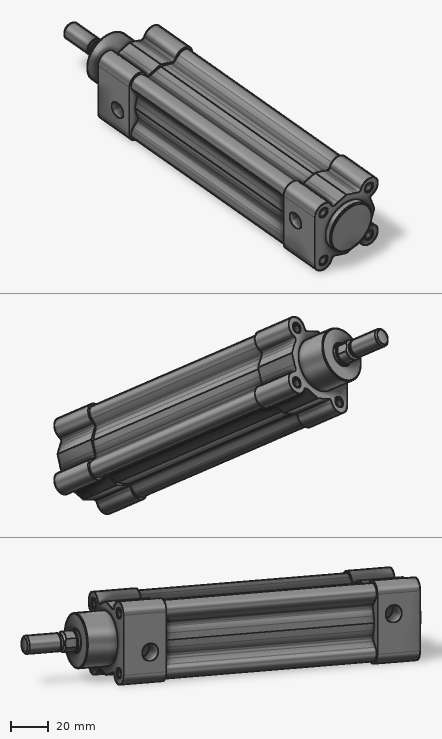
import cadquery as cq
import math


FRONT_BOSS_X = 30.0
FRONT_CAP_X = 48.0
CAP_LENGTH = 25.0
REAR_CAP_END_X = 222.0
TOTAL_LENGTH = 226.0
BARREL_START_X = FRONT_CAP_X + CAP_LENGTH
BARREL_END_X = REAR_CAP_END_X - CAP_LENGTH

OUTER_WIDTH = 45.0
HALF_WIDTH = OUTER_WIDTH / 2
LOBE_OFFSET = 16.3
LOBE_DISTANCE = math.hypot(LOBE_OFFSET, LOBE_OFFSET)

CAP_LOBE_RADIUS = HALF_WIDTH - LOBE_OFFSET
CAP_CORE_RADIUS = 19.0
CAP_RIDGE_HALF_WIDTH = 5.9
CAP_FILLET_RADIUS = 1.8

BARREL_LOBE_RADIUS = 5.0
BARREL_CORE_RADIUS = 18.0
BARREL_RIDGE_HALF_WIDTH = 3.8
BARREL_FILLET_RADIUS = 2.5

BOSS_RADIUS = 15.0
BOSS_CHAMFER = 0.5
SPIGOT_CHAMFER = 0.7
ROD_BORE_CHAMFER = 0.7
SCREW_HOLE_DIAMETER = 5.0
SCREW_HOLE_CHAMFER = 0.56
PORT_DIAMETER = 9.5
PORT_DEPTH = 12.0
PORT_FROM_OUTER_FACE = 15.5
PORT_Z_OFFSET = 5.0

ROD_DIAMETER = 12.0
ROD_RADIUS = ROD_DIAMETER / 2
NECK_CHAMFER_LENGTH = 0.7
THREAD_RADIUS = 5.0
THREAD_CHAMFER = 1.0
THREAD_LENGTH = 19.5
UNDERCUT_DIAMETER = 8.8
UNDERCUT_RADIUS = UNDERCUT_DIAMETER / 2
UNDERCUT_END_X = 21.0
NECK_RADIUS = 5.6
NECK_START_X = UNDERCUT_END_X + NECK_RADIUS - UNDERCUT_RADIUS
NECK_END_X = 28.2
ACROSS_FLATS = 10.2


def section_plane(x):
    """Sketch plane across the axis: local x is Y, local y is Z, extruding toward +X."""
    return cq.Workplane("YZ", origin=(x, 0, 0))


def ridged_core(x, length, radius, ridge_half_width):
    """Round bar with four low ridges, whose flat sides run tangent to the round."""
    tangent_angle = math.asin(ridge_half_width / radius)
    crest = radius / math.cos(tangent_angle)
    tangent_height = radius * math.cos(tangent_angle)
    core = section_plane(x).circle(radius).extrude(length)
    for turn in range(4):
        ridge = (
            section_plane(x)
            .moveTo(0, 0)
            .lineTo(ridge_half_width, tangent_height)
            .lineTo(0, crest)
            .lineTo(-ridge_half_width, tangent_height)
            .close()
            .extrude(length)
            .rotate((0, 0, 0), (1, 0, 0), 90 * turn)
        )
        core = core.union(ridge)
    return core


def fillet_hollows(bar, x, length, core_radius, half_chord, fillet_radius):
    """Round the eight long inner corners where the corner lobes meet the core.

    half_chord is half the width of a lobe where it crosses the round of the core.
    """
    along_diagonal = math.sqrt(core_radius**2 - half_chord**2)
    near_side = (along_diagonal - half_chord) / math.sqrt(2)
    far_side = (along_diagonal + half_chord) / math.sqrt(2)
    for y, z in ((near_side, far_side), (far_side, near_side)):
        for side_y in (-1, 1):
            for side_z in (-1, 1):
                corner_edge = cq.selectors.NearestToPointSelector(
                    (x + length / 2, side_y * y, side_z * z)
                )
                bar = bar.edges(corner_edge).fillet(fillet_radius)
    return bar


def make_barrel():
    """Profiled tube: ridged core with four diagonal round-ended arms."""
    length = BARREL_END_X - BARREL_START_X
    bar = ridged_core(BARREL_START_X, length, BARREL_CORE_RADIUS, BARREL_RIDGE_HALF_WIDTH)
    arm_span = 2 * (LOBE_DISTANCE + BARREL_LOBE_RADIUS)
    for angle in (45, 135):
        arms = section_plane(BARREL_START_X).slot2D(arm_span, 2 * BARREL_LOBE_RADIUS, angle)
        bar = bar.union(arms.extrude(length))
    return fillet_hollows(
        bar, BARREL_START_X, length, BARREL_CORE_RADIUS, BARREL_LOBE_RADIUS, BARREL_FILLET_RADIUS
    )


def cap_body(x):
    """Cap block: ridged core with four round lobes, filled out to a flat face on the -Y side."""
    bar = ridged_core(x, CAP_LENGTH, CAP_CORE_RADIUS, CAP_RIDGE_HALF_WIDTH)
    lobes = (
        section_plane(x)
        .rect(2 * LOBE_OFFSET, 2 * LOBE_OFFSET, forConstruction=True)
        .vertices()
        .circle(CAP_LOBE_RADIUS)
        .extrude(CAP_LENGTH)
    )
    crossing_distance = (
        LOBE_DISTANCE**2 + CAP_CORE_RADIUS**2 - CAP_LOBE_RADIUS**2
    ) / (2 * LOBE_DISTANCE)
    half_chord = math.sqrt(CAP_CORE_RADIUS**2 - crossing_distance**2)
    bar = fillet_hollows(
        bar.union(lobes), x, CAP_LENGTH, CAP_CORE_RADIUS, half_chord, CAP_FILLET_RADIUS
    )
    flat_side = cq.Workplane("XY").box(
        CAP_LENGTH, HALF_WIDTH, 2 * LOBE_OFFSET, centered=(False, False, True)
    ).translate((x, -HALF_WIDTH, 0))
    return bar.union(flat_side)


def screw_holes(outer_x):
    """Four corner holes through a cap, each with a countersink at the outer face."""
    inward = 1 if outer_x < TOTAL_LENGTH / 2 else -1
    radius = SCREW_HOLE_DIAMETER / 2
    hole = (
        cq.Workplane("XY")
        .polyline([
            (0, 0),
            (0, radius + SCREW_HOLE_CHAMFER),
            (inward * SCREW_HOLE_CHAMFER, radius),
            (inward * CAP_LENGTH, radius),
            (inward * CAP_LENGTH, 0),
        ])
        .close()
        .revolve(360, (0, 0, 0), (1, 0, 0))
    )
    holes = cq.Workplane("XY")
    for y in (-LOBE_OFFSET, LOBE_OFFSET):
        for z in (-LOBE_OFFSET, LOBE_OFFSET):
            holes = holes.add(hole.translate((outer_x, y, z)))
    return holes.combine()


def port(x, z):
    """Air port, a blind hole from the flat side toward +Y."""
    return (
        cq.Workplane("XZ", origin=(x, -HALF_WIDTH, z))
        .circle(PORT_DIAMETER / 2)
        .extrude(-PORT_DEPTH)
    )


def make_front_cap():
    boss = (
        section_plane(FRONT_BOSS_X)
        .circle(BOSS_RADIUS)
        .extrude(FRONT_CAP_X - FRONT_BOSS_X)
        .faces("<X")
        .chamfer(BOSS_CHAMFER)
    )
    rod_bore = (
        cq.Workplane("XY")
        .polyline([
            (FRONT_BOSS_X, 0),
            (FRONT_BOSS_X, ROD_RADIUS + ROD_BORE_CHAMFER),
            (FRONT_BOSS_X + ROD_BORE_CHAMFER, ROD_RADIUS),
            (BARREL_START_X, ROD_RADIUS),
            (BARREL_START_X, 0),
        ])
        .close()
        .revolve(360, (0, 0, 0), (1, 0, 0))
    )
    return (
        cap_body(FRONT_CAP_X)
        .union(boss)
        .cut(rod_bore)
        .cut(screw_holes(FRONT_CAP_X))
        .cut(port(FRONT_CAP_X + PORT_FROM_OUTER_FACE, -PORT_Z_OFFSET))
    )


def make_rear_cap():
    spigot = (
        section_plane(REAR_CAP_END_X)
        .circle(BOSS_RADIUS)
        .extrude(TOTAL_LENGTH - REAR_CAP_END_X)
        .faces(">X")
        .chamfer(SPIGOT_CHAMFER)
    )
    return (
        cap_body(BARREL_END_X)
        .union(spigot)
        .cut(screw_holes(REAR_CAP_END_X))
        .cut(port(REAR_CAP_END_X - PORT_FROM_OUTER_FACE, PORT_Z_OFFSET))
    )


def make_piston_rod():
    """Turned rod with a threaded end, an undercut and a neck with two wrench flats."""
    rod = (
        cq.Workplane("XY")
        .polyline([
            (0, 0),
            (0, THREAD_RADIUS - THREAD_CHAMFER),
            (THREAD_CHAMFER, THREAD_RADIUS),
            (THREAD_LENGTH, THREAD_RADIUS),
            (THREAD_LENGTH, UNDERCUT_RADIUS),
            (UNDERCUT_END_X, UNDERCUT_RADIUS),
            (NECK_START_X, NECK_RADIUS),
            (NECK_END_X, NECK_RADIUS),
            (NECK_END_X + NECK_CHAMFER_LENGTH, ROD_RADIUS),
            (BARREL_START_X, ROD_RADIUS),
            (BARREL_START_X, 0),
        ])
        .close()
        .revolve(360, (0, 0, 0), (1, 0, 0))
    )
    flat_length = NECK_END_X - UNDERCUT_END_X
    for side in (-1, 1):
        flat_cut = cq.Workplane("XY").box(
            flat_length, ROD_RADIUS, 2 * ROD_RADIUS, centered=(False, True, True)
        ).translate((UNDERCUT_END_X, side * (ACROSS_FLATS + ROD_RADIUS) / 2, 0))
        rod = rod.cut(flat_cut)
    return rod


piston_rod = make_piston_rod()
front_cap = make_front_cap()
barrel = make_barrel()
rear_cap = make_rear_cap()

result = cq.Compound.makeCompound([
    piston_rod.val(),
    front_cap.val(),
    barrel.val(),
    rear_cap.val(),
])